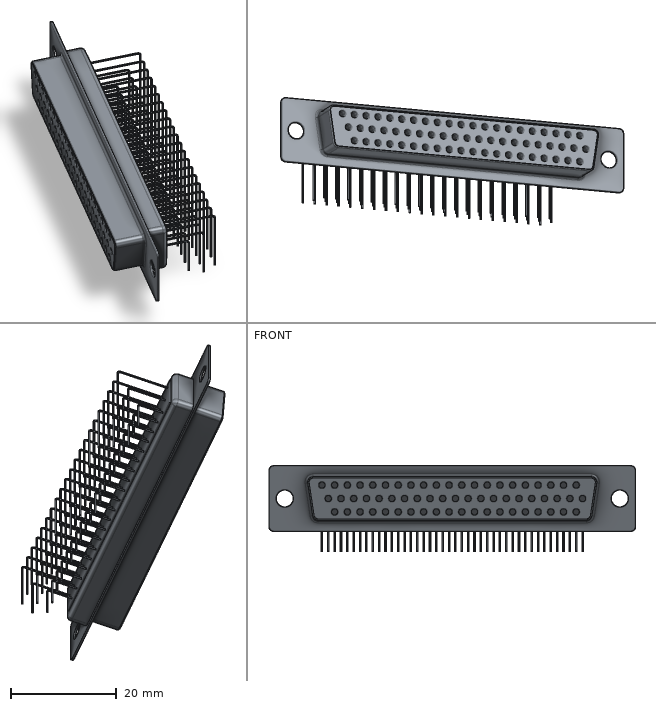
import cadquery as cq
import math


EDGE_RADIUS = 0.1

PLATE_LENGTH = 69.5
PLATE_HEIGHT = 12.5
PLATE_THICKNESS = 0.4
PLATE_FRONT = 6.05
PLATE_BACK = PLATE_FRONT + PLATE_THICKNESS
PLATE_CORNER_RADIUS = 1.0
MOUNT_HOLE_DIAMETER = 3.2
MOUNT_HOLE_SPACING = 63.45

SHELL_WIDTH = 54.8
SHELL_HEIGHT = 8.3
SHELL_SIDE_ANGLE = 8.5
SHELL_CORNER_RADIUS = 1.05
SHELL_WALL = 0.3
SHELL_FRONT = 0.2
SHELL_FLARE_RADIUS = 0.5

REAR_SHELL_WIDTH = 54.4
REAR_SHELL_HEIGHT = 10.3
REAR_SHELL_BACK = 10.5
REAR_SHELL_CORNER_RADIUS = 1.05
REAR_SHELL_EDGE_RADIUS = 0.9
INSULATOR_WIDTH = 51.4
INSULATOR_HEIGHT = 7.5
INSULATOR_BACK = 10.8

CONTACTS_PER_LONG_ROW = 21
CONTACTS_PER_SHORT_ROW = CONTACTS_PER_LONG_ROW - 1
LONG_ROW_LENGTH = 48.15
CONTACT_PITCH = LONG_ROW_LENGTH / (CONTACTS_PER_LONG_ROW - 1)
ROW_STAGGER = CONTACT_PITCH / 2
OUTER_ROW_SPAN = 5.1
ROW_SPACING = OUTER_ROW_SPAN / 2
SOCKET_DIAMETER = 1.2
SOCKET_DEPTH = 3.5

OVERALL_DEPTH = 21.05
TAIL_DIAMETER = 0.3
TAIL_BEND_RADIUS = 0.6
TAIL_BOTTOM = -10.0
TAIL_SPACING = 2.6
TAIL_EMBED = 0.35
LAST_TAIL_Y = OVERALL_DEPTH - TAIL_DIAMETER / 2

FIRST_X = -(LONG_ROW_LENGTH + ROW_STAGGER) / 2
ROWS = [
    (FIRST_X, CONTACTS_PER_LONG_ROW, ROW_SPACING, LAST_TAIL_Y),
    (FIRST_X + ROW_STAGGER, CONTACTS_PER_LONG_ROW, 0, LAST_TAIL_Y - TAIL_SPACING),
    (FIRST_X + CONTACT_PITCH, CONTACTS_PER_SHORT_ROW, -ROW_SPACING, LAST_TAIL_Y - 2 * TAIL_SPACING),
]


def plane_at(y):
    """XZ sketch plane at depth y; extrusion runs toward +Y."""
    return cq.Workplane(cq.Plane(origin=(0, y, 0), xDir=(1, 0, 0), normal=(0, -1, 0)))


def make_plate():
    plate = plane_at(PLATE_FRONT).rect(PLATE_LENGTH, PLATE_HEIGHT).extrude(-PLATE_THICKNESS)
    plate = plate.edges("|Y").fillet(PLATE_CORNER_RADIUS)
    holes = (
        plane_at(PLATE_FRONT)
        .rarray(MOUNT_HOLE_SPACING, 0.7, 2, 1)
        .circle(MOUNT_HOLE_DIAMETER / 2)
        .extrude(-PLATE_THICKNESS)
    )
    plate = plate.cut(holes)
    return plate.faces("<Y").edges().fillet(EDGE_RADIUS)


def d_block(front, back, inset):
    """D-shaped block between two depths, its sides moved inward by inset."""
    half_height = SHELL_HEIGHT / 2
    slope = math.radians(SHELL_SIDE_ANGLE)
    overhang = SHELL_CORNER_RADIUS * (math.tan(math.pi / 4 + slope / 2) - 1)
    half_top = SHELL_WIDTH / 2 + overhang
    half_bottom = half_top - SHELL_HEIGHT * math.tan(slope)
    outline = [
        (-half_top, half_height),
        (half_top, half_height),
        (half_bottom, -half_height),
        (-half_bottom, -half_height),
    ]
    sharp = plane_at(front).polyline(outline).close()
    if inset:
        sharp = sharp.offset2D(-inset)
    block = sharp.extrude(front - back)
    return block.edges("|Y").fillet(SHELL_CORNER_RADIUS - inset)


def add_mating_shell(plate):
    """D-shaped shell, flared where it meets the plate, with the insulator inside."""
    shell = d_block(SHELL_FRONT, PLATE_BACK, 0)
    shell = shell.faces("<Y").edges().fillet(EDGE_RADIUS)
    half_width = SHELL_WIDTH / 2 + SHELL_FLARE_RADIUS
    half_height = SHELL_HEIGHT / 2 + SHELL_FLARE_RADIUS
    joint = cq.selectors.BoxSelector(
        (-half_width, PLATE_FRONT - EDGE_RADIUS / 2, -half_height),
        (half_width, PLATE_FRONT + EDGE_RADIUS / 2, half_height),
    )
    flared = plate.union(shell).edges(joint).fillet(SHELL_FLARE_RADIUS)
    return flared.union(d_block(0, PLATE_FRONT, SHELL_WALL))


def make_rear_shell():
    depth = REAR_SHELL_BACK - PLATE_BACK
    shell = plane_at(PLATE_BACK).rect(REAR_SHELL_WIDTH, REAR_SHELL_HEIGHT).extrude(-depth)
    shell = shell.edges("|Y").fillet(REAR_SHELL_CORNER_RADIUS)
    return shell.faces(">Y").edges().fillet(REAR_SHELL_EDGE_RADIUS)


def make_insulator_step():
    depth = INSULATOR_BACK - REAR_SHELL_BACK
    step = plane_at(REAR_SHELL_BACK).rect(INSULATOR_WIDTH, INSULATOR_HEIGHT).extrude(-depth)
    return step.faces(">Y").edges().fillet(EDGE_RADIUS)


def row_positions(first_x, count):
    return [first_x + i * CONTACT_PITCH for i in range(count)]


def make_sockets():
    """Cutters for the contact holes, each widening to a rounded mouth."""
    hole_radius = SOCKET_DIAMETER / 2
    mouth_radius = hole_radius + EDGE_RADIUS
    arc_inset = EDGE_RADIUS * (1 - math.sqrt(0.5))
    cutter = (
        cq.Workplane("XY")
        .lineTo(mouth_radius, 0)
        .threePointArc((hole_radius + arc_inset, arc_inset), (hole_radius, EDGE_RADIUS))
        .lineTo(hole_radius, SOCKET_DEPTH)
        .lineTo(0, SOCKET_DEPTH)
        .close()
        .revolve(360, (0, 0, 0), (0, 1, 0))
    )
    cutters = cq.Workplane()
    for first_x, count, z, _ in ROWS:
        for x in row_positions(first_x, count):
            cutters = cutters.add(cutter.translate((x, 0, z)))
    return cutters.combine()


def make_tail(z, tail_y):
    """Round wire leaving the insulator backward, then bent down, at X = 0."""
    start_y = INSULATOR_BACK - TAIL_EMBED
    bend_y = tail_y - TAIL_BEND_RADIUS
    bend_z = z - TAIL_BEND_RADIUS
    arc_reach = TAIL_BEND_RADIUS * math.sqrt(0.5)
    path = (
        cq.Workplane("YZ")
        .moveTo(start_y, z)
        .lineTo(bend_y, z)
        .threePointArc((bend_y + arc_reach, bend_z + arc_reach), (tail_y, bend_z))
        .lineTo(tail_y, TAIL_BOTTOM)
    )
    section = plane_at(start_y).center(0, z).circle(TAIL_DIAMETER / 2)
    return section.sweep(path)


def make_tails():
    tails = []
    for first_x, count, z, tail_y in ROWS:
        tail = make_tail(z, tail_y)
        tails += [tail.translate((x, 0, 0)).val() for x in row_positions(first_x, count)]
    return tails


body = add_mating_shell(make_plate())
body = body.union(make_rear_shell()).union(make_insulator_step())
body = body.cut(make_sockets())
result = cq.Workplane(body.val().fuse(*make_tails()))